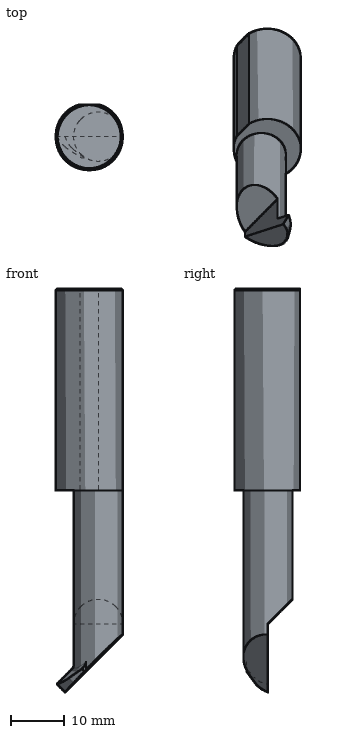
import cadquery as cq
import math

SHANK_DIAMETER = 12.7
SHANK_LENGTH = 38.1
SHANK_FLAT_DEPTH = 0.25
TOP_CHAMFER = 0.4

NECK_DIAMETER = 9.3
REACH = 38.1

RAKE_TOP_Z = -25.2
RAKE_RUNOUT_ANGLE = 45.0

PRONG_ANGLE = 45.0
PRONG_THICKNESS = 2.2
PRONG_TIP_X = -4.55
TOP_RELIEF_ANGLE = 18.0
BOTTOM_RELIEF_ANGLE = 3.0

NOSE_LENGTH = 2.4
NOSE_WIDTH = 2.45
FLANK_ANGLE = 28.0
PRONG_WIDTH = 4.03
PRONG_ROOT = 8.0
ROOT_FILLET = 0.9

SHANK_RADIUS = SHANK_DIAMETER / 2
NECK_RADIUS = NECK_DIAMETER / 2
NECK_X = SHANK_RADIUS - NECK_RADIUS
CUT_SIZE = 3 * SHANK_DIAMETER


def tip_plane():
    """Plane of the prong: x runs back from the tip, y toward -Y, normal down and toward +X."""
    slope = math.radians(PRONG_ANGLE)
    back = (math.cos(slope), 0, math.sin(slope))
    down = (math.sin(slope), 0, -math.cos(slope))
    return cq.Plane(origin=(PRONG_TIP_X, 0, -REACH), xDir=back, normal=down)


def make_shank():
    """Chamfered round bar with a shallow flat along its +Y side."""
    shank = cq.Workplane("XY").circle(SHANK_RADIUS).extrude(SHANK_LENGTH)
    shank = shank.faces(">Z").chamfer(TOP_CHAMFER)
    beyond_flat = (
        cq.Workplane("XY")
        .box(SHANK_DIAMETER, SHANK_DIAMETER, SHANK_LENGTH, centered=(True, False, False))
        .translate((0, SHANK_RADIUS - SHANK_FLAT_DEPTH, 0))
    )
    return shank.cut(beyond_flat)


def make_neck():
    """Round neck with its +Y half cut away below the sloping end of the rake face."""
    neck = cq.Workplane("XY").center(NECK_X, 0).circle(NECK_RADIUS).extrude(-REACH)
    runout_rise = NECK_DIAMETER * math.tan(math.radians(RAKE_RUNOUT_ANGLE))
    rake_cut = (
        cq.Workplane("YZ")
        .moveTo(0, RAKE_TOP_Z)
        .lineTo(NECK_DIAMETER, RAKE_TOP_Z + runout_rise)
        .lineTo(NECK_DIAMETER, -REACH - CUT_SIZE)
        .lineTo(0, -REACH - CUT_SIZE)
        .close()
        .extrude(CUT_SIZE, both=True)
    )
    return neck.cut(rake_cut)


def make_prong():
    """Curved nose and straight flank, with the upper face sloping down toward -Y."""
    flank = math.radians(FLANK_ANGLE)
    flank_end = NOSE_LENGTH + (PRONG_WIDTH - NOSE_WIDTH) / math.tan(flank)

    chord = math.hypot(NOSE_LENGTH, NOSE_WIDTH)
    chord_angle = math.atan2(NOSE_WIDTH, NOSE_LENGTH)
    sagitta = chord / 2 * math.tan((chord_angle - flank) / 2)
    nose_middle = (
        NOSE_LENGTH / 2 - sagitta * math.sin(chord_angle),
        NOSE_WIDTH / 2 + sagitta * math.cos(chord_angle),
    )
    blank = (
        cq.Workplane(tip_plane())
        .moveTo(0, 0)
        .threePointArc(nose_middle, (NOSE_LENGTH, NOSE_WIDTH))
        .lineTo(flank_end, PRONG_WIDTH)
        .lineTo(PRONG_ROOT, PRONG_WIDTH)
        .lineTo(PRONG_ROOT, 0)
        .close()
        .extrude(-PRONG_THICKNESS)
    )
    top = tip_plane().rotated((TOP_RELIEF_ANGLE, 0, 0))
    top.origin = tip_plane().toWorldCoords((0, 0, -PRONG_THICKNESS))
    above = cq.Workplane(top).rect(CUT_SIZE, CUT_SIZE).extrude(-CUT_SIZE)
    return blank.cut(above)


def below_tip():
    """Everything under the relieved lower face that ends the neck and the prong."""
    bottom = tip_plane().rotated((-BOTTOM_RELIEF_ANGLE, 0, 0))
    return cq.Workplane(bottom).rect(CUT_SIZE, CUT_SIZE).extrude(CUT_SIZE)


def fillet_root(body):
    """Blend the upper face of the prong into the round side of the neck."""
    slope = math.radians(PRONG_ANGLE)
    neck_side_x = NECK_X - NECK_RADIUS
    root_z = -REACH + (neck_side_x - PRONG_TIP_X) * math.tan(slope) + PRONG_THICKNESS / math.cos(slope)
    root_point = (neck_side_x, -PRONG_WIDTH / 2, root_z)
    root_edge = body.edges("%ELLIPSE").edges(cq.selectors.NearestToPointSelector(root_point))
    return root_edge.fillet(ROOT_FILLET)


tool = make_shank().union(make_neck()).union(make_prong()).cut(below_tip())
result = fillet_root(tool)